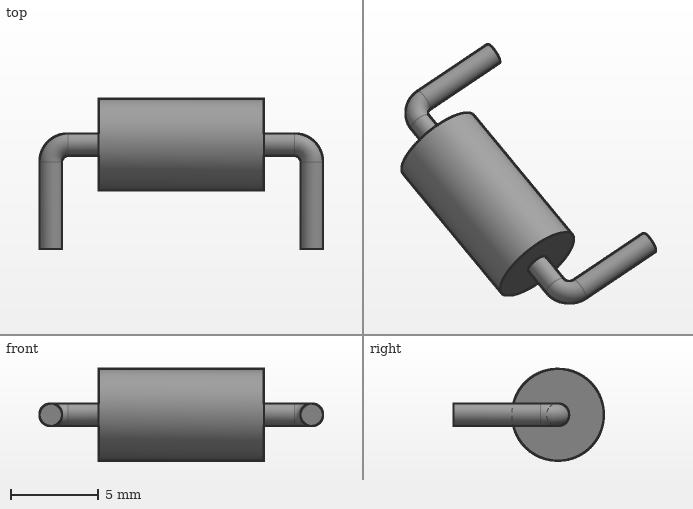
import cadquery as cq

overall_length = 16.3
wire_diameter = 1.3
bend_radius = 1.0
lead_reach = 6.0
body_diameter = 5.3
body_length = 9.5

wire_radius = wire_diameter / 2
half_pitch = overall_length / 2 - wire_radius


def make_body():
    """Cylinder along X, centred on the origin."""
    left_end = cq.Workplane("YZ").workplane(offset=-body_length / 2)
    return left_end.circle(body_diameter / 2).extrude(body_length)


def make_lead():
    """Sweep the +X lead from the body centre, round the bend, to its tip."""
    path = (
        cq.Workplane("XY")
        .lineTo(half_pitch - bend_radius, 0)
        .tangentArcPoint((half_pitch, -bend_radius), relative=False)
        .lineTo(half_pitch, -lead_reach)
    )
    return cq.Workplane("YZ").circle(wire_radius).sweep(path)


lead = make_lead()
result = make_body().union(lead).union(lead.mirror("YZ"))